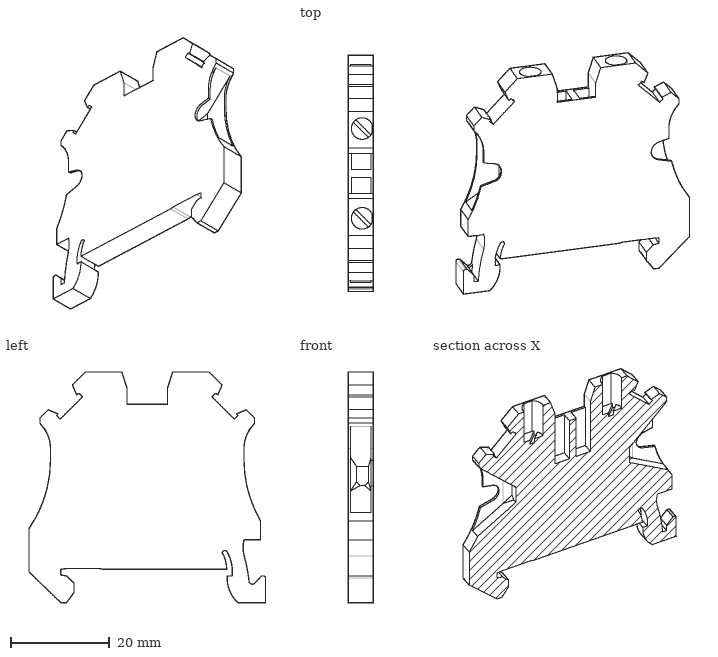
import cadquery as cq
import math


thickness = 5.15
half_length = 24.0
height = 46.85

recess_half = 4.07
recess_floor_z = 40.35
recess_flare_z = 43.5
tower_inner = 5.13
tower_outer = 12.55
tower_nose = (15.2, 44.2)
lobe_tip = (20.08, 39.2)
lobe_side = 21.8
lobe_side_top_z = 37.5
lobe_side_bottom_z = 36.45
label_groove = [
    (14.34, 42.2),
    (13.87, 42.5),
    (13.14, 41.8),
    (17.66, 37.3),
    (18.39, 38.0),
    (18.08, 38.35),
]
neck_top = (20.9, 35.3)
waist = 19.65
waist_top_z = 31.3
waist_bottom_z = 29.0
waist_sweep_radius = 24.5
shoulder_side = 23.0
shoulder_bottom_z = 12.8

spring_root = (-19.7, 9.5)
spring_root_mid = (-19.47, 11.2)
spring_flank_mid = (-20.28, 7.0)
hook_slot_floor = (-20.85, 2.5)
hook_groove_end = (-21.7, 3.9)
spring_top_z = 5.5
hook_top_inner_y = -23.2
hook_top_outer_y = -23.5
hook_round_mid = (-23.85, 5.4)
hook_round_end_z = 5.05
spring_bottom_y = -18.4
claw_mid = (-16.8, 2.2)
claw_tip_y = -16.2
claw_root_y = -17.2

slit_outer_mid = (-16.98, 8.4)
slit_outer_top = (-16.2, 10.3)
slit_top_mid = (-15.65, 10.6)
slit_inner_top = (-15.25, 10.15)
slit_inner_mid = (-15.9, 8.6)
slit_inner_y = -16.15

rail_seat_z = 6.8
seat_relief = [(9.0, rail_seat_z), (9.7, 6.95), (16.3, 6.95)]
fixed_claw_root_y = 17.5
fixed_claw = [(fixed_claw_root_y, 5.67), (16.3, 5.45), (14.83, 4.0), (14.83, 2.13), (16.4, 0)]
fixed_foot_side_bottom_z = 6.27

lip_thickness = 0.8
lip_top = (-20.65, 4.6)
lip_round_mid = (-20.95, 3.95)
lip_embedded_y = -20.4

funnel_x_min = 0.5
funnel_x_max = 4.65
funnel_top_z = 36.0
funnel_bottom_z = 18.35
funnel_mouth_top = 21.5
funnel_mouth_bottom = 22.1
funnel_back = 13.2
throat_x_min = 1.7
throat_x_max = 4.15
throat_top_z = 27.7
throat_bottom_z = 23.8
throat_taper_start = 15.0
throat_corner = 0.75

notch_mouth_top_z = 28.9
notch_mouth_bottom_z = 23.67
notch_round_top = (-17.4, 28.4)
notch_round_end = (-15.9, 26.4)
notch_round_bottom = (-17.1, 24.5)

screw_x = 2.86
screw_offset = 9.1
screw_radius = 2.19
screw_flat_x = 4.83
screw_trim_length = 3 * screw_radius
screw_depth = 8.0
screw_slot_width = 0.73
screw_slot_depth = 1.0
screw_slot_angle = -45.0

jumper_x_min = 0.65
jumper_x_max = 4.67
jumper_inner = 0.8
jumper_outer = recess_half
jumper_depth = 10.0


def sweep_offset(z):
    """Distance from the middle plane to the waist sweep at height z."""
    drop = waist_bottom_z - z
    return waist + waist_sweep_radius - math.sqrt(waist_sweep_radius**2 - drop**2)


def sweep_height(offset):
    """Height at which the waist sweep reaches a distance from the middle plane."""
    run = waist_sweep_radius - (offset - waist)
    return waist_bottom_z - math.sqrt(waist_sweep_radius**2 - run**2)


upper_corners = [
    (recess_half, recess_floor_z),
    (recess_half, recess_flare_z),
    (tower_inner, height),
    (tower_outer, height),
    tower_nose,
    *label_groove,
    lobe_tip,
    (lobe_side, lobe_side_top_z),
    (lobe_side, lobe_side_bottom_z),
    neck_top,
]


def line_through(outline, points):
    for point in points:
        outline = outline.lineTo(*point)
    return outline


def build_body():
    neck_mid_z = (neck_top[1] + waist_top_z) / 2
    neck_run = neck_top[0] - waist
    neck_rise = neck_top[1] - waist_top_z
    neck_radius = (neck_run**2 + neck_rise**2) / (2 * neck_run)
    neck_mid = waist + neck_radius - math.sqrt(neck_radius**2 - (neck_mid_z - waist_top_z) ** 2)

    shoulder_z = sweep_height(shoulder_side)
    shoulder_mid_z = (waist_bottom_z + shoulder_z) / 2
    fixed_end_z = sweep_height(half_length)
    fixed_mid_z = (waist_bottom_z + fixed_end_z) / 2

    minus_y_corners = [(-offset, z) for offset, z in upper_corners]
    outline = cq.Workplane("YZ").moveTo(*minus_y_corners[0])
    outline = line_through(outline, minus_y_corners[1:])

    outline = (
        outline.threePointArc((-neck_mid, neck_mid_z), (-waist, waist_top_z))
        .lineTo(-waist, waist_bottom_z)
        .threePointArc((-sweep_offset(shoulder_mid_z), shoulder_mid_z), (-shoulder_side, shoulder_z))
        .lineTo(-shoulder_side, shoulder_bottom_z)
        .lineTo(-waist, shoulder_bottom_z)
    )
    outline = (
        outline.threePointArc(spring_root_mid, spring_root)
        .threePointArc(spring_flank_mid, hook_slot_floor)
        .lineTo(hook_groove_end[0], hook_slot_floor[1])
        .lineTo(*hook_groove_end)
        .lineTo(hook_top_inner_y, spring_top_z)
        .lineTo(hook_top_outer_y, spring_top_z)
        .threePointArc(hook_round_mid, (-half_length, hook_round_end_z))
        .lineTo(-half_length, 0)
        .lineTo(spring_bottom_y, 0)
        .threePointArc(claw_mid, (claw_tip_y, spring_top_z))
        .lineTo(claw_root_y, spring_top_z)
    )
    outline = (
        outline.threePointArc(slit_outer_mid, slit_outer_top)
        .threePointArc(slit_top_mid, slit_inner_top)
        .threePointArc(slit_inner_mid, (slit_inner_y, rail_seat_z))
    )
    outline = line_through(outline, seat_relief)
    outline = outline.lineTo(fixed_claw_root_y, rail_seat_z)
    outline = line_through(outline, fixed_claw)
    outline = (
        outline.lineTo(fixed_claw_root_y, 0)
        .lineTo(half_length, fixed_foot_side_bottom_z)
        .lineTo(half_length, fixed_end_z)
    )
    outline = (
        outline.threePointArc((sweep_offset(fixed_mid_z), fixed_mid_z), (waist, waist_bottom_z))
        .lineTo(waist, waist_top_z)
        .threePointArc((neck_mid, neck_mid_z), neck_top)
    )
    outline = line_through(outline, reversed(upper_corners[:-1]))
    return outline.close().extrude(thickness)


def tetrahedron(a, b, c, d):
    faces = []
    for corners in ((a, b, c), (a, b, d), (a, c, d), (b, c, d)):
        points = [cq.Vector(*corner) for corner in corners]
        faces.append(cq.Face.makeFromWires(cq.Wire.makePolygon(points, close=True)))
    return cq.Workplane(cq.Solid.makeSolid(cq.Shell.makeShell(faces)))


def funnel_cutter():
    """Wire funnel at the -Y end: sloped floor and ceiling, sides drawn in to the throat."""
    floor_slope = (throat_bottom_z - funnel_bottom_z) / (funnel_mouth_bottom - funnel_back)
    side_profile = (
        cq.Workplane("YZ")
        .polyline([
            (-funnel_back, throat_bottom_z),
            (-funnel_back, throat_top_z),
            (-funnel_mouth_top, funnel_top_z),
            (-half_length, funnel_top_z),
            (-half_length, funnel_bottom_z),
            (-funnel_mouth_bottom, funnel_bottom_z),
        ])
        .close()
        .extrude(thickness)
    )
    plan_profile = (
        cq.Workplane("XY")
        .polyline([
            (throat_x_min, -funnel_back),
            (funnel_x_min, -throat_taper_start),
            (funnel_x_min, -half_length),
            (funnel_x_max, -half_length),
            (funnel_x_max, -throat_taper_start),
            (throat_x_max, -funnel_back),
        ])
        .close()
        .extrude(height)
    )
    cutter = side_profile.intersect(plan_profile)

    bevel_start_z = throat_bottom_z - floor_slope * (throat_taper_start - funnel_back)
    for throat_x, wall_x, inward in (
        (throat_x_min, funnel_x_min, 1),
        (throat_x_max, funnel_x_max, -1),
    ):
        bevel = tetrahedron(
            (wall_x, -throat_taper_start, bevel_start_z),
            (throat_x, -funnel_back, throat_bottom_z),
            (throat_x, -funnel_back, throat_bottom_z + throat_corner),
            (throat_x + inward * throat_corner, -funnel_back, throat_bottom_z),
        )
        cutter = cutter.cut(bevel)
    return cutter


def notch_cutter():
    """Tapered, round-ended notch through the +X wall at the -Y end."""
    mouth_bottom = sweep_offset(notch_mouth_bottom_z)
    return (
        cq.Workplane("YZ", origin=(funnel_x_max, 0, 0))
        .moveTo(-half_length, notch_mouth_top_z)
        .lineTo(-waist, notch_mouth_top_z)
        .lineTo(*notch_round_top)
        .threePointArc(notch_round_end, notch_round_bottom)
        .lineTo(-mouth_bottom, notch_mouth_bottom_z)
        .lineTo(-half_length, notch_mouth_bottom_z)
        .close()
        .extrude(thickness - funnel_x_max)
    )


def build_lip():
    """Thin lip with a rounded top edge across the hook slot, rooted in the springy foot."""
    return (
        cq.Workplane("YZ")
        .moveTo(*lip_top)
        .threePointArc(lip_round_mid, hook_groove_end)
        .lineTo(hook_groove_end[0], hook_slot_floor[1])
        .lineTo(lip_embedded_y, hook_slot_floor[1])
        .lineTo(lip_embedded_y, lip_top[1])
        .close()
        .extrude(lip_thickness)
    )


def shaft(y, top_z, depth):
    """Round shaft with a flat along its +X side."""
    bottom_z = top_z - depth
    bore = cq.Workplane("XY", origin=(screw_x, y, bottom_z)).circle(screw_radius).extrude(depth)
    keep = cq.Workplane("XY", origin=(0, y, bottom_z)).box(
        2 * screw_flat_x, screw_trim_length, depth, centered=(True, True, False)
    )
    return bore.intersect(keep)


def screw_cutter(y):
    """Screw shaft with the driver slot sunk into the screw head at its bottom."""
    head_z = height - screw_depth
    slot = (
        cq.Workplane("XY", origin=(screw_x, y, head_z - screw_slot_depth))
        .transformed(rotate=(0, 0, screw_slot_angle))
        .rect(screw_trim_length, screw_slot_width)
        .extrude(screw_slot_depth)
        .intersect(shaft(y, head_z, screw_slot_depth))
    )
    return shaft(y, height, screw_depth).union(slot)


def jumper_cutter(side):
    y_middle = side * (jumper_inner + jumper_outer) / 2
    x_middle = (jumper_x_min + jumper_x_max) / 2
    return (
        cq.Workplane("XY", origin=(x_middle, y_middle, recess_floor_z - jumper_depth))
        .rect(jumper_x_max - jumper_x_min, jumper_outer - jumper_inner)
        .extrude(jumper_depth)
    )


result = build_body().union(build_lip())
wire_entry = funnel_cutter().union(notch_cutter())
result = result.cut(wire_entry).cut(wire_entry.mirror("XZ"))
for side in (1, -1):
    result = result.cut(screw_cutter(side * screw_offset))
    result = result.cut(jumper_cutter(side))